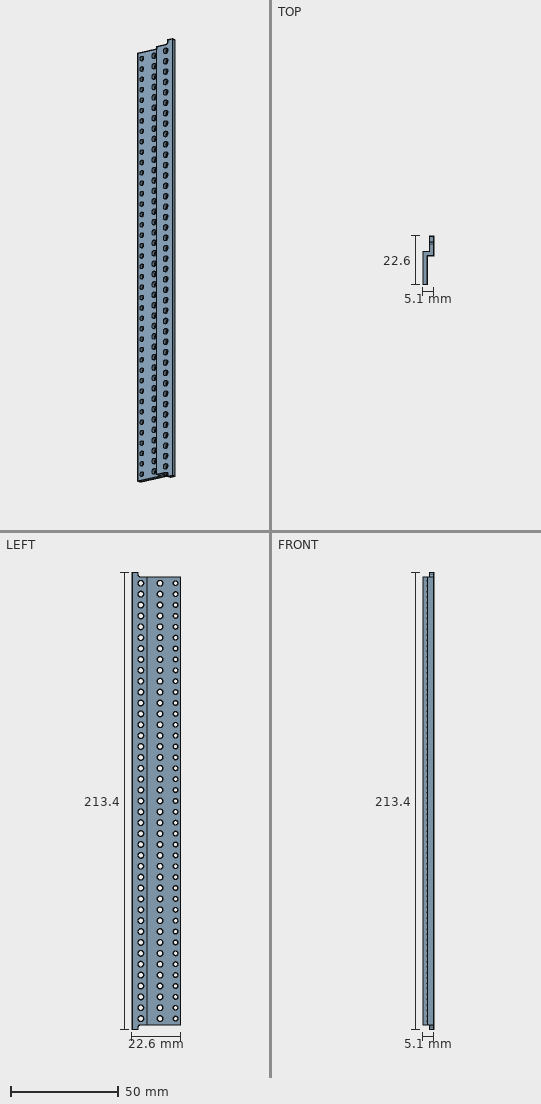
import cadquery as cq

length = 213.4
width = 22.6
depth = 5.1

thickness = 2.1
rear_flange_width = 7.0

tab_width = 2.8
tab_height = 2.1
tab_root_radius = 1.0
body_length = length - 2 * tab_height

hole_rows = [(4.0, 2.5), (13.0, 2.5), (20.3, 2.1)]
holes_per_row = 41
hole_span = 203.1
hole_pitch = hole_span / (holes_per_row - 1)

left = -depth / 2
right = depth / 2
front = -width / 2
rear = width / 2


def make_strip():
    """Extrude the Z-shaped section over the body length."""
    step_rear = rear - rear_flange_width
    step_front = step_rear - thickness
    outline = [
        (left, front),
        (left + thickness, front),
        (left + thickness, step_front),
        (right, step_front),
        (right, rear),
        (right - thickness, rear),
        (right - thickness, step_rear),
        (left, step_rear),
    ]
    base = cq.Workplane("XY").workplane(offset=-body_length / 2)
    return base.polyline(outline).close().extrude(body_length)


def make_tab_bar():
    """Full-length bar along the rear edge; its ends form the two tabs."""
    bar = cq.Workplane("XY").box(thickness, tab_width, length)
    return bar.translate((right - thickness / 2, rear - tab_width / 2, 0))


def make_hole_row(rear_distance, diameter):
    """Cutters for one row of holes running through the strip along X."""
    return (
        cq.Workplane("YZ")
        .workplane(offset=left)
        .center(rear - rear_distance, 0)
        .rarray(2.1, hole_pitch, 1, holes_per_row)
        .circle(diameter / 2)
        .extrude(depth)
    )


def round_tab_roots(strip):
    """Fillet the inner corner where each tab meets the end of the body."""
    tab_side = rear - tab_width
    centre_x = right - thickness / 2
    for body_end in (-body_length / 2, body_length / 2):
        root = cq.selectors.NearestToPointSelector((centre_x, tab_side, body_end))
        strip = strip.edges("|X").edges(root).fillet(tab_root_radius)
    return strip


result = round_tab_roots(make_strip().union(make_tab_bar()))
for rear_distance, diameter in hole_rows:
    result = result.cut(make_hole_row(rear_distance, diameter))